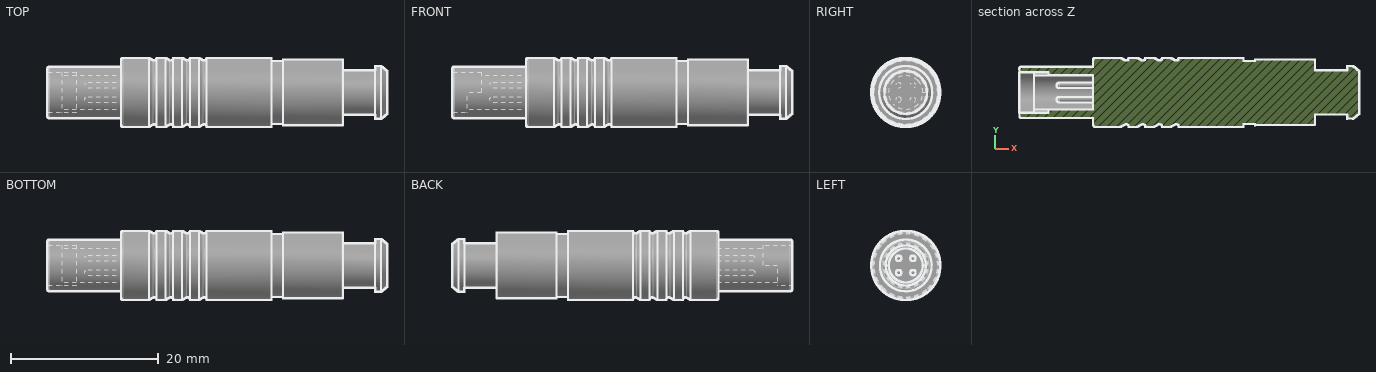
import cadquery as cq
import math

TOTAL_LENGTH = 46
TUBE_END = 10.0
GRIP_END = 30.35
NECK_END = 31.9
SHELL_END = 40
FLANGE_START = 44.35

TUBE_RADIUS = 3.5
GRIP_RADIUS = 4.7
NECK_RADIUS = 4.3
SHELL_RADIUS = 4.45
STEM_RADIUS = 3.05
FLANGE_RADIUS = 3.6

FRONT_FILLET = 0.3
SHELL_FILLET = 0.15
FLANGE_CHAMFER_LENGTH = 0.85
FLANGE_END_RADIUS = 2.9

GROOVE_COUNT = 4
GROOVE_START = 13.75
GROOVE_PITCH = 2.25
RAMP_LENGTH = 0.55
RAMP_ANGLE = math.radians(30)
GROOVE_ROUND = 0.3

MOUTH_RADIUS = 2.7
LOWER_MOUTH_DEPTH = 2.0
UPPER_MOUTH_DEPTH = 2 * LOWER_MOUTH_DEPTH
SOCKET_RADIUS = 2.3
SOCKET_DEPTH = TUBE_END
PIN_RADIUS = 0.35
PIN_SPACING = 1.95
PIN_TIP_DEPTH = 5.05


def cylinder(start, end, radius):
    """Solid cylinder about the X axis between two X positions."""
    return cq.Workplane("YZ").workplane(offset=start).circle(radius).extrude(end - start)


def make_body():
    """Stepped outer body with its rounded and chamfered edges."""
    tube = cylinder(0, TUBE_END, TUBE_RADIUS).faces("<X").edges().fillet(FRONT_FILLET)
    grip = cylinder(TUBE_END, GRIP_END, GRIP_RADIUS).faces("<X").edges().fillet(FRONT_FILLET)
    neck = cylinder(GRIP_END, NECK_END, NECK_RADIUS)
    shell = cylinder(NECK_END, SHELL_END, SHELL_RADIUS).faces(">X").edges().fillet(SHELL_FILLET)
    stem = cylinder(SHELL_END, FLANGE_START, STEM_RADIUS)
    return tube.union(grip).union(neck).union(shell).union(stem).union(make_flange())


def make_flange():
    """Rear flange with a conical lead-in at its outer end."""
    return (
        cq.Workplane("XY")
        .moveTo(FLANGE_START, 0)
        .lineTo(FLANGE_START, FLANGE_RADIUS)
        .lineTo(TOTAL_LENGTH - FLANGE_CHAMFER_LENGTH, FLANGE_RADIUS)
        .lineTo(TOTAL_LENGTH, FLANGE_END_RADIUS)
        .lineTo(TOTAL_LENGTH, 0)
        .close()
        .revolve(360, (0, 0, 0), (1, 0, 0))
    )


def make_groove(start):
    """Ring removed from the grip for one groove beginning at the given X position."""
    ramp_end = start + RAMP_LENGTH
    ramp_end_radius = GRIP_RADIUS - RAMP_LENGTH * math.tan(RAMP_ANGLE)
    round_x = ramp_end + GROOVE_ROUND * math.sin(RAMP_ANGLE)
    round_radius = ramp_end_radius + GROOVE_ROUND * math.cos(RAMP_ANGLE)
    wall_x = round_x + GROOVE_ROUND
    return (
        cq.Workplane("XY")
        .moveTo(start, GRIP_RADIUS)
        .lineTo(ramp_end, ramp_end_radius)
        .threePointArc((round_x, round_radius - GROOVE_ROUND), (wall_x, round_radius))
        .lineTo(wall_x, GRIP_RADIUS)
        .close()
        .revolve(360, (0, 0, 0), (1, 0, 0))
    )


def make_socket():
    """Stepped cavity of the socket, its wide mouth reaching deeper above the axis than below."""
    lower_mouth = cylinder(0, LOWER_MOUTH_DEPTH, MOUTH_RADIUS)
    upper_half = cq.Workplane("XY").box(
        UPPER_MOUTH_DEPTH, 2 * MOUTH_RADIUS, MOUTH_RADIUS, centered=(False, True, False)
    )
    upper_mouth = cylinder(0, UPPER_MOUTH_DEPTH, MOUTH_RADIUS).intersect(upper_half)
    bore = cylinder(0, SOCKET_DEPTH, SOCKET_RADIUS)
    return bore.union(lower_mouth).union(upper_mouth)


def make_pin(y, z):
    """Contact pin with a hemispherical tip, rooted in the socket floor."""
    dome_center = PIN_TIP_DEPTH + PIN_RADIUS
    shaft = cylinder(dome_center, SOCKET_DEPTH, PIN_RADIUS)
    dome = cq.Workplane("XY").sphere(PIN_RADIUS).translate((dome_center, 0, 0))
    return shaft.union(dome).translate((0, y, z))


result = make_body()
for index in range(GROOVE_COUNT):
    result = result.cut(make_groove(GROOVE_START + index * GROOVE_PITCH))

result = result.cut(make_socket())
for y_side in (-1, 1):
    for z_side in (-1, 1):
        result = result.union(make_pin(y_side * PIN_SPACING / 2, z_side * PIN_SPACING / 2))